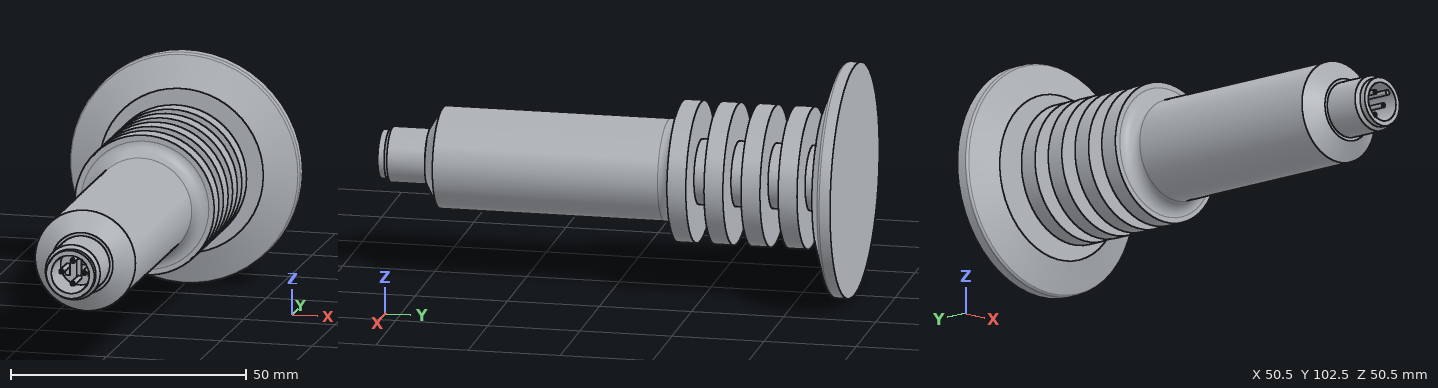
import cadquery as cq
import math

TOTAL_LENGTH = 102.5

FLANGE_DIA = 50.5
FLANGE_RIM = 2.85
FLANGE_THICKNESS = 5.5
FLANGE_TAPER = 20.0
FLANGE_EDGE_RADIUS = 0.6

NECK_DIA = 14.0
FIN_DIA = 30.5
FIN_COUNT = 4
FIN_THICKNESS = 4.1
FIN_PITCH = 8.05
FIRST_FIN_START = 9.3
LAST_FIN_END = FIRST_FIN_START + (FIN_COUNT - 1) * FIN_PITCH + FIN_THICKNESS

BODY_DIA = 22.0
BODY_FILLET = 3.0
BODY_END = 89.4
CONE_END = 92.0
CONE_TIP_DIA = 13.4

PLUG_DIA = 12.0
PLUG_TIP_DIA = 10.5
PLUG_TIP_LENGTH = 1.4
PLUG_CHAMFER = (PLUG_DIA - PLUG_TIP_DIA) / 2
PLUG_BORE_DIA = 8.3
PLUG_BORE_DEPTH = 8.0
PLUG_FLOOR = TOTAL_LENGTH - PLUG_BORE_DEPTH
INSERT_ROOT = (PLUG_FLOOR + CONE_END) / 2

PIN_COUNT = 4
PIN_DIA = 1.0
PIN_CIRCLE_RADIUS = 2.5
PIN_TIP_CHAMFER = 0.25
PIN_RECESS = 1.9
KEY_DIA = 1.1
KEY_RADIUS = 3.75
KEY_ANGLE = 45.0
KEY_RECESS = 1.0
RIB_WIDTH = PIN_DIA
RIB_HEIGHT = 0.5
RIB_END_Z = -2.0


def cylinder(diameter, start, end, x=0.0, z=0.0):
    """Cylinder along -Y between two stations, centred at (x, z)."""
    plane = cq.Workplane("XZ", origin=(0, -start, 0))
    return plane.center(x, z).circle(diameter / 2).extrude(end - start)


def revolve_about_y(profile):
    """Turn a profile drawn in the XY plane about the Y axis."""
    return profile.close().revolve(360, (0, 0, 0), (0, 1, 0))


def make_flange():
    radius = FLANGE_DIA / 2
    taper = math.radians(FLANGE_TAPER)
    taper_end_radius = radius - (FLANGE_THICKNESS - FLANGE_RIM) / math.tan(taper)

    turn = math.pi / 2 - taper
    round_start = FLANGE_RIM - FLANGE_EDGE_RADIUS * math.tan(turn / 2)
    round_centre = radius - FLANGE_EDGE_RADIUS

    def round_point(angle):
        x = round_centre + FLANGE_EDGE_RADIUS * math.cos(angle)
        y = -round_start - FLANGE_EDGE_RADIUS * math.sin(angle)
        return x, y

    profile = (
        cq.Workplane("XY")
        .lineTo(radius, 0)
        .lineTo(radius, -round_start)
        .threePointArc(round_point(turn / 2), round_point(turn))
        .lineTo(taper_end_radius, -FLANGE_THICKNESS)
        .lineTo(0, -FLANGE_THICKNESS)
    )
    return revolve_about_y(profile)


def make_finned_neck():
    neck = cylinder(NECK_DIA, 0, LAST_FIN_END)
    for index in range(FIN_COUNT):
        start = FIRST_FIN_START + index * FIN_PITCH
        neck = neck.union(cylinder(FIN_DIA, start, start + FIN_THICKNESS))
    return neck


def make_housing():
    radius = BODY_DIA / 2
    diagonal = BODY_FILLET * (1 - math.sqrt(0.5))
    profile = (
        cq.Workplane("XY")
        .moveTo(0, -LAST_FIN_END)
        .lineTo(radius + BODY_FILLET, -LAST_FIN_END)
        .threePointArc(
            (radius + diagonal, -LAST_FIN_END - diagonal),
            (radius, -LAST_FIN_END - BODY_FILLET),
        )
        .lineTo(radius, -BODY_END)
        .lineTo(CONE_TIP_DIA / 2, -CONE_END)
        .lineTo(0, -CONE_END)
    )
    return revolve_about_y(profile)


def make_plug():
    tip_start = TOTAL_LENGTH - PLUG_TIP_LENGTH
    barrel = cylinder(PLUG_DIA, CONE_END, tip_start).faces("<Y").chamfer(PLUG_CHAMFER)
    tip = cylinder(PLUG_TIP_DIA, tip_start, TOTAL_LENGTH)
    bore = cylinder(PLUG_BORE_DIA, PLUG_FLOOR, TOTAL_LENGTH)
    return barrel.union(tip).cut(bore)


def make_coding_key():
    key_angle = math.radians(KEY_ANGLE)
    return cylinder(
        KEY_DIA,
        INSERT_ROOT,
        TOTAL_LENGTH - KEY_RECESS,
        KEY_RADIUS * math.cos(key_angle),
        KEY_RADIUS * math.sin(key_angle),
    )


def make_pin(x, z):
    pin = cylinder(PIN_DIA, INSERT_ROOT, TOTAL_LENGTH - PIN_RECESS, x, z)
    return pin.faces("<Y").chamfer(PIN_TIP_CHAMFER)


def make_floor_rib(x, z):
    """Flat rib on the bore floor, running in -Z from a pin at (x, z)."""
    height = RIB_HEIGHT + PLUG_FLOOR - INSERT_ROOT
    rib = cq.Workplane("XY").box(RIB_WIDTH, height, z - RIB_END_Z, centered=(True, False, False))
    return rib.translate((x, -INSERT_ROOT - height, RIB_END_Z))


def make_contacts():
    contacts = cq.Workplane("XY")
    for index in range(PIN_COUNT):
        angle = 2 * math.pi * index / PIN_COUNT
        x = PIN_CIRCLE_RADIUS * math.cos(angle)
        z = PIN_CIRCLE_RADIUS * math.sin(angle)
        contacts = contacts.add(make_pin(x, z))
        if z > RIB_END_Z:
            contacts = contacts.add(make_floor_rib(x, z))
    return contacts.combine()


result = (
    make_flange()
    .union(make_finned_neck())
    .union(make_housing())
    .union(make_plug())
    .union(make_coding_key())
    .union(make_contacts())
)